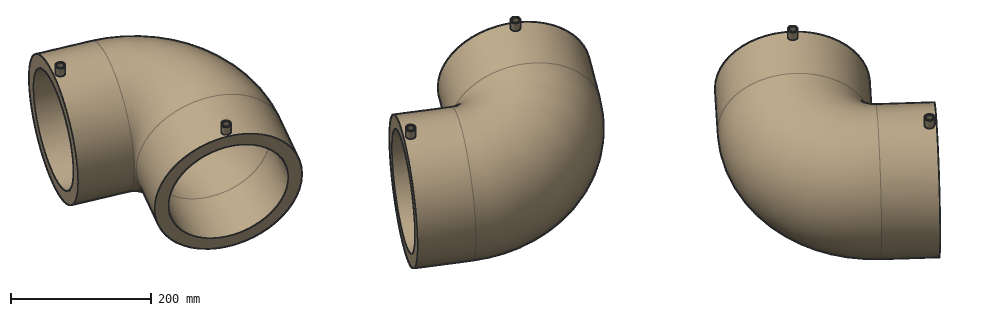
import cadquery as cq

overall_length = 308.0
outer_diameter = 221.8
inner_diameter = 180.0
straight_length = 84.0

terminal_height = 15.0
terminal_outer_diameter = 14.5
terminal_inner_diameter = 10.2
terminal_end_distance = 10.5

outer_radius = outer_diameter / 2
bend_radius = overall_length - straight_length - outer_radius
leg_length = bend_radius + straight_length
bend_angle = 90

terminal_positions = [
    (0, -straight_length + terminal_end_distance),
    (leg_length - terminal_end_distance, bend_radius),
]


def elbow_solid(diameter):
    """Solid elbow of the given diameter: two straight legs joined by a bend."""
    radius = diameter / 2
    bend = (
        cq.Workplane("XZ")
        .circle(radius)
        .revolve(bend_angle, (bend_radius, 3, 0), (bend_radius, -3, 0))
    )
    front_leg = cq.Workplane("XZ").circle(radius).extrude(straight_length)
    side_leg = (
        cq.Workplane("YZ", origin=(bend_radius, bend_radius, 0))
        .circle(radius)
        .extrude(straight_length)
    )
    return bend.union(front_leg).union(side_leg)


def terminal_tubes():
    """Vertical tubes from the pipe axis level up to the terminal tops."""
    return (
        cq.Workplane("XY")
        .pushPoints(terminal_positions)
        .circle(terminal_outer_diameter / 2)
        .circle(terminal_inner_diameter / 2)
        .extrude(outer_radius + terminal_height)
    )


result = elbow_solid(outer_diameter).union(terminal_tubes()).cut(elbow_solid(inner_diameter))